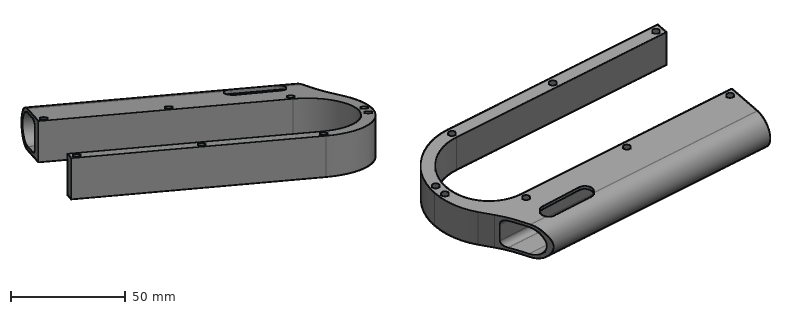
import cadquery as cq
import math

length = 145.4
width = 81.4
height = 19.0
mid_height = height / 2

leg_width = 6.4
opening_width = 47.1
opening_radius = opening_width / 2
opening_right = width - leg_width
opening_left = opening_right - opening_width
center_x = opening_left + opening_radius
arch_radius = opening_radius + leg_width
arch_center_y = length - arch_radius

shoulder_radius = 35.3
shoulder_angle = math.radians(37.8)
flank_length = 7.3
valley_end = (13.1, 126.6)
nose_start = (5.2, 122.7)
nose_middle = (2.3, 121.1)
nose_end = (0.0, 119.1)

tube_radius = height / 2
channel_left = 2.3
channel_right = 22.0
channel_height = 15.5
channel_radius = channel_height / 2
channel_corner = 3.0

window_far_center = (11.8, 113.0)
window_far_radius = 3.9
window_near_center = (12.0, 92.8)
window_near_radius = 4.0

hole_diameter = 3.5
hole_rows = (3.3, 60.0, arch_center_y)
hole_edge_gap = 3.2
arch_hole_offset = 3.3
arch_hole_y = length - hole_edge_gap


def plan_body():
    """Outer plan outline including the opening, extruded to full height."""
    shoulder_end = (
        center_x - shoulder_radius * math.sin(shoulder_angle),
        length - shoulder_radius * (1 - math.cos(shoulder_angle)),
    )
    shoulder_middle = (
        center_x - shoulder_radius * math.sin(shoulder_angle / 2),
        length - shoulder_radius * (1 - math.cos(shoulder_angle / 2)),
    )
    flank_end = (
        shoulder_end[0] - flank_length * math.cos(shoulder_angle),
        shoulder_end[1] - flank_length * math.sin(shoulder_angle),
    )
    arch_diagonal = arch_radius * math.sqrt(0.5)
    return (
        cq.Workplane("XY")
        .moveTo(0, 0)
        .lineTo(opening_left, 0)
        .lineTo(opening_left, arch_center_y)
        .threePointArc((center_x, arch_center_y + opening_radius), (opening_right, arch_center_y))
        .lineTo(opening_right, 0)
        .lineTo(width, 0)
        .lineTo(width, arch_center_y)
        .threePointArc((center_x + arch_diagonal, arch_center_y + arch_diagonal), (center_x, length))
        .threePointArc(shoulder_middle, shoulder_end)
        .lineTo(*flank_end)
        .tangentArcPoint(valley_end, relative=False)
        .lineTo(*nose_start)
        .threePointArc(nose_middle, nose_end)
        .close()
        .extrude(height)
    )


def rounded_envelope():
    """Full-length profile whose left side is a half round."""
    return (
        cq.Workplane("XZ")
        .moveTo(tube_radius, 0)
        .lineTo(width, 0)
        .lineTo(width, height)
        .lineTo(tube_radius, height)
        .threePointArc((0, mid_height), (tube_radius, 0))
        .close()
        .extrude(-length)
    )


def channel():
    """Through channel, round on the left with filleted corners on the right."""
    round_x = channel_left + channel_radius
    bottom = mid_height - channel_radius
    top = mid_height + channel_radius
    return (
        cq.Workplane("XZ")
        .moveTo(round_x, bottom)
        .lineTo(channel_right, bottom)
        .lineTo(channel_right, top)
        .lineTo(round_x, top)
        .threePointArc((channel_left, mid_height), (round_x, bottom))
        .close()
        .extrude(-length)
        .edges("|Y and >X")
        .fillet(channel_corner)
    )


def window():
    """Tapered slot from the channel up through the top wall."""
    far_x, far_y = window_far_center
    near_x, near_y = window_near_center
    return (
        cq.Workplane("XY", origin=(0, 0, mid_height))
        .moveTo(far_x - window_far_radius, far_y)
        .threePointArc((far_x, far_y + window_far_radius), (far_x + window_far_radius, far_y))
        .lineTo(near_x + window_near_radius, near_y)
        .threePointArc((near_x, near_y - window_near_radius), (near_x - window_near_radius, near_y))
        .close()
        .extrude(height)
    )


def screw_holes():
    """Vertical through holes: three along each leg and a pair at the arch top."""
    leg_columns = (opening_left - hole_edge_gap, width - hole_edge_gap)
    points = [(x, y) for x in leg_columns for y in hole_rows]
    points += [(center_x + side * arch_hole_offset, arch_hole_y) for side in (-1, 1)]
    return cq.Workplane("XY").pushPoints(points).circle(hole_diameter / 2).extrude(height)


result = (
    plan_body()
    .intersect(rounded_envelope())
    .cut(channel())
    .cut(window())
    .cut(screw_holes())
)